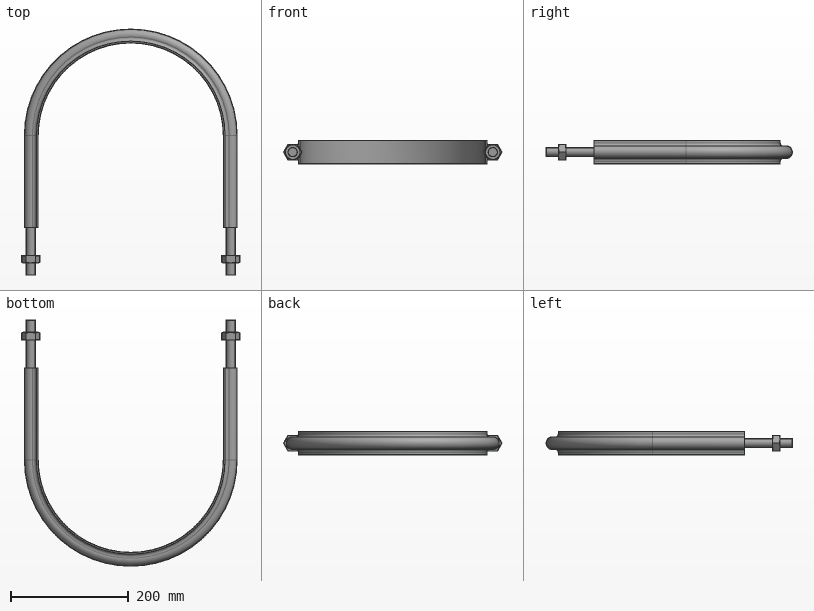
import cadquery as cq
import math

rod_diameter = 15.5
leg_spacing = 340.0
leg_length = 237.5
bend_radius = leg_spacing / 2

tube_wall = 3.0
tube_radius = rod_diameter / 2 + tube_wall
liner_leg_length = 156.5
strip_width = 40.0
strip_thickness = 3.0
strip_inset = 2.0
web_fillet_radius = 5.5
strip_inner_offset = tube_radius + strip_inset
strip_outer_offset = strip_inner_offset - strip_thickness

nut_across_corners = 31.02
nut_height = 13.0
nut_face_diameter = 25.0
nut_chamfer_angle = 30.0
nut_end_gap = 20.5


def swept_u(draw_section, straight_length):
    """Carry a section, drawn across the +X leg about its axis, around the whole U."""
    right_leg = draw_section().extrude(straight_length)
    left_leg = right_leg.mirror("YZ")
    bend = draw_section().revolve(180, (-bend_radius, 0, 0), (-bend_radius, 1, 0))
    return right_leg.union(bend).union(left_leg)


def leg_plane(y=0.0, side=1):
    """Plane across a leg, with its normal toward the free end of the rod."""
    return cq.Workplane("XZ", origin=(side * bend_radius, y, 0))


def rod_section():
    return leg_plane().circle(rod_diameter / 2)


def make_u_bolt():
    return swept_u(rod_section, leg_length)


def liner_section():
    """Keyhole outline: strip and tube joined by fillets tangent to both."""
    fillet_x = -strip_outer_offset + web_fillet_radius
    fillet_z = math.sqrt((tube_radius + web_fillet_radius) ** 2 - fillet_x**2)
    tube_share = tube_radius / (tube_radius + web_fillet_radius)
    tube_tangent = (fillet_x * tube_share, fillet_z * tube_share)

    toward_strip = math.pi
    toward_tube = 2 * math.pi - math.atan2(fillet_z, -fillet_x)
    middle_angle = (toward_strip + toward_tube) / 2
    fillet_middle = (
        fillet_x + web_fillet_radius * math.cos(middle_angle),
        fillet_z + web_fillet_radius * math.sin(middle_angle),
    )

    def mirrored(point):
        return (point[0], -point[1])

    half_width = strip_width / 2
    return (
        leg_plane()
        .moveTo(-strip_inner_offset, -half_width)
        .lineTo(-strip_inner_offset, half_width)
        .lineTo(-strip_outer_offset, half_width)
        .lineTo(-strip_outer_offset, fillet_z)
        .threePointArc(fillet_middle, tube_tangent)
        .threePointArc((tube_radius, 0), mirrored(tube_tangent))
        .threePointArc(mirrored(fillet_middle), (-strip_outer_offset, -fillet_z))
        .lineTo(-strip_outer_offset, -half_width)
        .close()
    )


def make_liner():
    bore = swept_u(rod_section, liner_leg_length)
    return swept_u(liner_section, liner_leg_length).cut(bore)


def make_nut(side):
    """Hexagon nut with corners along X and its outward face chamfered."""
    inner_face_y = -(leg_length - nut_end_gap - nut_height)
    face_radius = nut_face_diameter / 2
    corner_radius = nut_across_corners / 2
    chamfer_depth = (corner_radius - face_radius) * math.tan(math.radians(nut_chamfer_angle))
    hexagon = leg_plane(inner_face_y, side).polygon(6, nut_across_corners).extrude(nut_height)
    chamfer_envelope = (
        leg_plane(inner_face_y, side)
        .circle(corner_radius)
        .extrude(nut_height)
        .faces("<Y")
        .chamfer(chamfer_depth, corner_radius - face_radius)
    )
    bore = leg_plane(inner_face_y, side).circle(rod_diameter / 2).extrude(nut_height)
    return hexagon.intersect(chamfer_envelope).cut(bore)


u_bolt = make_u_bolt()
liner = make_liner()
nuts = [make_nut(side) for side in (-1, 1)]

result = cq.Compound.makeCompound([u_bolt.val(), liner.val(), *[nut.val() for nut in nuts]])